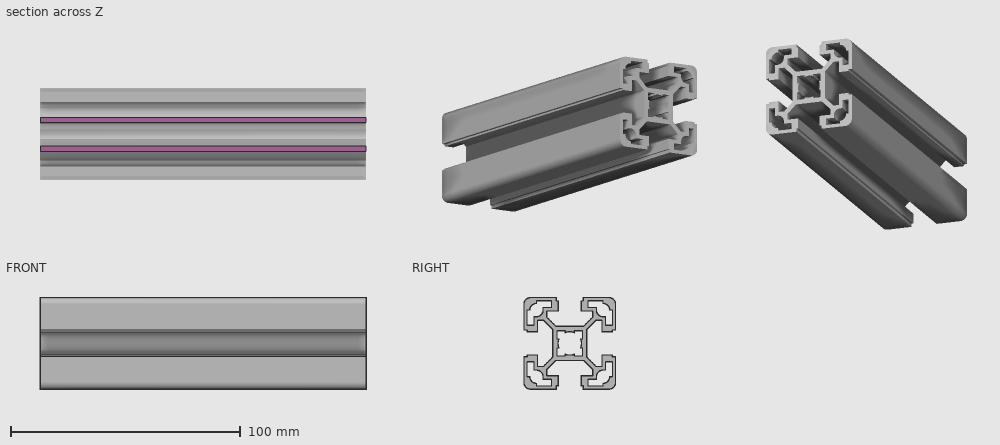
import cadquery as cq
import math

length = 142.0
width = 40.0
corner_radius = 3.0

mouth_width = 10.0
recess_width = 11.6
recess_depth = 1.5
lip_depth = 6.0
chamber_width = 20.0
web_thickness = 2.05

core_width = 15.0
bore_width = 10.9
pad_width = 4
pad_circle_radius = 5.05

outer_wall = 1.5
inner_wall = 1.65
lip_wall = 3.0
screw_circle_offset = 5.5
screw_circle_radius = 2.85
corner_block = 5.55

half_length = length / 2
half_width = width / 2
QUARTER_TURNS = (0, 90, 180, 270)


def end_plane():
    """Work plane across the bar at its -X end: local x is +Y, local y is +Z."""
    return cq.Workplane("YZ", origin=(-half_length, 0, 0))


def turned(body, angle):
    return body.rotate((0, 0, 0), (1, 0, 0), angle)


def bar():
    return end_plane().rect(width, width).extrude(length).edges("|X").fillet(corner_radius)


def t_slot():
    """Slot opening through the +Z face, symmetric about the XZ plane."""
    lip_bottom = half_width - lip_depth
    recess_bottom = half_width - recess_depth
    floor = core_width / 2
    flank_offset = web_thickness / math.sqrt(2)
    half_chamber = chamber_width / 2
    right_side = [
        (floor - flank_offset, floor),
        (half_chamber, half_chamber + flank_offset),
        (half_chamber, lip_bottom),
        (mouth_width / 2, lip_bottom),
        (mouth_width / 2, recess_bottom),
        (recess_width / 2, recess_bottom),
        (recess_width / 2, half_width),
    ]
    left_side = [(-y, z) for y, z in reversed(right_side)]
    return end_plane().polyline(right_side + left_side).close().extrude(length)


def core_bore():
    """Square bore, narrowed at the middle of each wall by a concave pad."""
    half_bore = bore_width / 2
    square = end_plane().rect(bore_width, bore_width).extrude(length)
    circle = end_plane().circle(pad_circle_radius).extrude(length)
    for angle in QUARTER_TURNS:
        pad = end_plane().center(0, half_bore / 2).rect(pad_width, half_bore).extrude(length)
        square = square.cut(turned(pad.cut(circle), angle))
    return square


def corner_chamber():
    """L-shaped hollow in the +Y +Z corner, rounded around a screw circle."""
    center = half_width - screw_circle_offset
    outer = half_width - outer_wall
    leg_start = half_width - corner_block
    leg_end = mouth_width / 2 + lip_wall
    leg_inner = half_width - lip_depth + inner_wall
    neck = chamber_width / 2 + inner_wall
    diagonal = screw_circle_radius / math.sqrt(2)

    neck_drop = center - neck
    neck_side = math.sqrt(screw_circle_radius**2 - neck_drop**2)
    block_back = center - leg_start
    block_side = math.sqrt(screw_circle_radius**2 - block_back**2)

    return (
        end_plane()
        .moveTo(leg_start, center + block_side)
        .lineTo(leg_start, outer)
        .lineTo(leg_end, outer)
        .lineTo(leg_end, leg_inner)
        .lineTo(neck, leg_inner)
        .lineTo(neck, center - neck_side)
        .threePointArc((center - diagonal, center - diagonal), (center - neck_side, neck))
        .lineTo(leg_inner, neck)
        .lineTo(leg_inner, leg_end)
        .lineTo(outer, leg_end)
        .lineTo(outer, leg_start)
        .lineTo(center + block_side, leg_start)
        .threePointArc((center + diagonal, center + diagonal), (leg_start, center + block_side))
        .close()
        .extrude(length)
    )


result = bar().cut(core_bore())
for quarter_turn in QUARTER_TURNS:
    result = result.cut(turned(t_slot(), quarter_turn))
    result = result.cut(turned(corner_chamber(), quarter_turn))